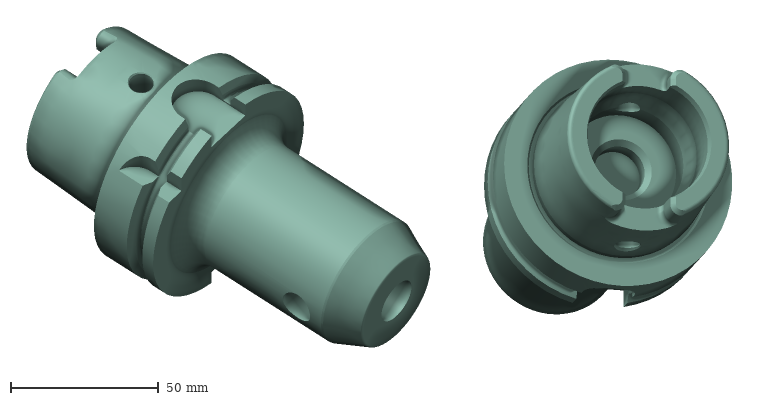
import cadquery as cq
import math

total_length = 139.9
taper_end = 37.5
flange_start = 40.0
flange_end = 66.0
shank_start = 75.4
nose_start = 126.9

taper_end_radius = 30.2
taper_slope = 0.05
taper_front_radius = taper_end_radius - taper_slope * taper_end
rim_fillet = 1.5
relief_start = 38.0
relief_radius = 30.0
face_groove_radius = 31.9
face_groove_depth = 0.7

flange_radius = 40.0
groove_radius = 35.0
groove_lip_radius = 37.4
groove_corner = 0.5
groove_left_edge = 54.4
groove_left_wall = 56.0
groove_right_wall = 59.6
groove_right_edge = 61.3

shank_radius = 23.9
neck_fillet = 9.8
nose_end_radius = 18.2
nose_shoulder_fillet = 2.1
nose_fillet = 0.8

cavity_radius = 21.1
cavity_mouth_radius = 21.8
cavity_mouth_depth = 2.1
cavity_cone_start = 16.2
cavity_cone_end = 26.9
cavity_floor_radius = 19.3
cavity_depth = 36.4
coolant_radius = 8.8
coolant_chamfer = 2.0
coolant_depth = 8.4
tool_bore_radius = 8.0
tool_bore_depth = 50.4

keyway_half_width = 7.8
keyway_corner_radius = 3.8
keyway_crest = 25.9
keyway_floor_fillet = 1.8
tooth_chamfer = 1.5
upper_keyway_depth = 8.1
lower_keyway_depth = 11.8

cross_hole_x = 27.7
cross_hole_radius = 4.2
cross_hole_chamfer = 0.7
screw_x = 115.7
screw_radius = 6.0

slot_start = 43.6
slot_half_width = 9.0
slot_floor = 33.2
notch_inset = 24.9
notch_floor = 24.6


def body():
    neck_drop = neck_fillet - math.sqrt(neck_fillet**2 - (shank_start - flange_end) ** 2)
    neck_angle = math.asin((shank_start - flange_end) / neck_fillet) / 2
    neck_mid = (
        shank_start - neck_fillet * math.sin(neck_angle),
        shank_radius + neck_fillet * (1 - math.cos(neck_angle)),
    )
    profile = (
        cq.Workplane("XY")
        .moveTo(0, 0)
        .lineTo(0, taper_front_radius)
        .lineTo(taper_end, taper_end_radius)
        .lineTo(relief_start, relief_radius)
        .lineTo(flange_start + face_groove_depth, relief_radius)
        .lineTo(flange_start + face_groove_depth, face_groove_radius - face_groove_depth)
        .lineTo(flange_start, face_groove_radius)
        .lineTo(flange_start, flange_radius)
        .lineTo(groove_left_edge, flange_radius)
        .lineTo(groove_left_wall, groove_lip_radius)
        .lineTo(groove_left_wall, groove_radius + groove_corner)
        .radiusArc((groove_left_wall + groove_corner, groove_radius), -groove_corner)
        .lineTo(groove_right_wall, groove_radius)
        .lineTo(groove_right_wall, groove_lip_radius)
        .lineTo(groove_right_edge, flange_radius)
        .lineTo(flange_end, flange_radius)
        .lineTo(flange_end, shank_radius + neck_drop)
        .threePointArc(neck_mid, (shank_start, shank_radius))
        .lineTo(nose_start, shank_radius)
        .lineTo(total_length, nose_end_radius)
        .lineTo(total_length, 0)
        .close()
    )
    turned = profile.revolve(360, (0, 0, 0), (1, 0, 0))
    rounded = turned.faces("<X").edges().fillet(rim_fillet)
    rounded = rounded.faces(">X").edges().fillet(nose_fillet)
    shoulder = cq.selectors.BoxSelector(
        (nose_start - nose_fillet, -flange_radius, -flange_radius),
        (nose_start + nose_fillet, flange_radius, flange_radius),
        boundingbox=True,
    )
    return rounded.edges(shoulder).fillet(nose_shoulder_fillet)


def keyway(depth):
    """Cutter for the upper keyway: straight walls that flare out over rounded crests."""
    outside = flange_radius
    arc_center_y = keyway_half_width + keyway_corner_radius
    arc_start_z = keyway_crest - keyway_corner_radius
    arc_reach = keyway_corner_radius * math.sqrt(0.5)
    arc_mid = (arc_center_y - arc_reach, arc_start_z + arc_reach)
    cutter = (
        cq.Workplane("YZ")
        .moveTo(-keyway_half_width, 0)
        .lineTo(keyway_half_width, 0)
        .lineTo(keyway_half_width, arc_start_z)
        .threePointArc(arc_mid, (arc_center_y, keyway_crest))
        .lineTo(outside, keyway_crest)
        .lineTo(outside, outside)
        .lineTo(-outside, outside)
        .lineTo(-outside, keyway_crest)
        .lineTo(-arc_center_y, keyway_crest)
        .threePointArc((-arc_mid[0], arc_mid[1]), (-keyway_half_width, arc_start_z))
        .close()
        .extrude(depth)
    )
    cutter = cutter.faces(">X").edges().fillet(keyway_floor_fillet)

    block = cq.Workplane("YZ").center(0, outside / 2).rect(2 * outside, outside).extrude(depth)
    teeth = block.cut(cutter)
    teeth = teeth.faces("<X").edges("not(<Z or <Y or >Y)").chamfer(tooth_chamfer)
    return block.cut(teeth)


def cavity():
    """Stepped bore open at the spindle end."""
    return (
        cq.Workplane("XY")
        .moveTo(0, 0)
        .lineTo(0, cavity_mouth_radius)
        .lineTo(cavity_mouth_depth, cavity_radius)
        .lineTo(cavity_cone_start, cavity_radius)
        .lineTo(cavity_cone_end, cavity_floor_radius)
        .lineTo(cavity_depth, cavity_floor_radius)
        .lineTo(cavity_depth, coolant_radius + coolant_chamfer)
        .lineTo(cavity_depth + coolant_chamfer, coolant_radius)
        .lineTo(cavity_depth + coolant_depth, coolant_radius)
        .lineTo(cavity_depth + coolant_depth, 0)
        .close()
        .revolve(360, (0, 0, 0), (1, 0, 0))
    )


def tool_bore():
    start = total_length - tool_bore_depth
    return cq.Workplane("YZ").workplane(offset=start).circle(tool_bore_radius).extrude(tool_bore_depth)


def through_hole(radius, chamfer, surface_radius):
    """Cutter along Z right through the part, with a conical mouth at both ends."""
    return (
        cq.Workplane("XZ")
        .moveTo(0, -surface_radius - chamfer)
        .lineTo(radius + 2 * chamfer, -surface_radius - chamfer)
        .lineTo(radius, chamfer - surface_radius)
        .lineTo(radius, surface_radius - chamfer)
        .lineTo(radius + 2 * chamfer, surface_radius + chamfer)
        .lineTo(0, surface_radius + chamfer)
        .close()
        .revolve(360, (0, 0, 0), (0, 1, 0))
    )


def screw_hole():
    """Set screw hole from the -Y side into the tool bore."""
    return cq.Workplane("XZ").center(screw_x, 0).circle(screw_radius).extrude(shank_radius)


def rim_slot(center_y, floor):
    """Round-ended slot, open toward the tool end, milled down to a flat floor."""
    arc_x = slot_start + slot_half_width
    return (
        cq.Workplane("XY")
        .workplane(offset=floor)
        .moveTo(flange_end, center_y - slot_half_width)
        .lineTo(arc_x, center_y - slot_half_width)
        .threePointArc((slot_start, center_y), (arc_x, center_y + slot_half_width))
        .lineTo(flange_end, center_y + slot_half_width)
        .close()
        .extrude(flange_radius)
    )


def turn(shape, angle):
    return shape.rotate((0, 0, 0), (1, 0, 0), angle)


holder = body()
holder = holder.cut(keyway(upper_keyway_depth)).cut(turn(keyway(lower_keyway_depth), 180))
holder = holder.cut(cavity()).cut(tool_bore())

cross_surface = taper_front_radius + taper_slope * cross_hole_x
cross_hole = through_hole(cross_hole_radius, cross_hole_chamfer, cross_surface)
holder = holder.cut(cross_hole.translate((cross_hole_x, 0, 0))).cut(screw_hole())

holder = holder.cut(rim_slot(0, slot_floor)).cut(turn(rim_slot(0, slot_floor), 180))
holder = holder.cut(rim_slot(-notch_inset - slot_half_width, notch_floor))

result = holder